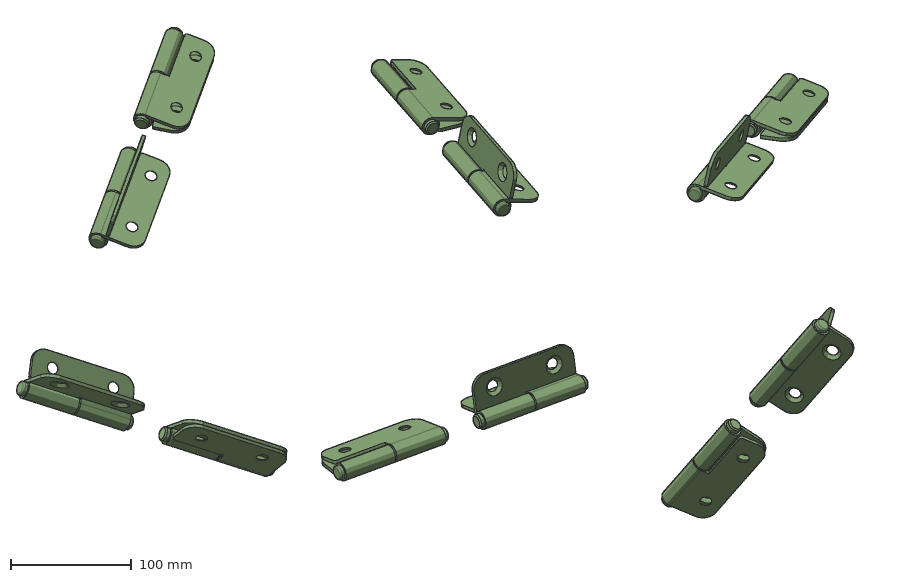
import cadquery as cq
import math

OVERALL_WIDTH = 45.5
OVERALL_LENGTH = 248.5
LEAF_LENGTH = 100.0
LONG_HEAD = 4.5
SHORT_HEAD = 4.2

KNUCKLE_RADIUS = 8.0
LEAF_THICKNESS = 3.0
PIN_RADIUS = KNUCKLE_RADIUS - LEAF_THICKNESS
WASHER_THICKNESS = 1.5
CURL_GAP = 0.2
KNUCKLE_LENGTH = (LEAF_LENGTH - WASHER_THICKNESS) / 2
HEAD_RADIUS = 6.2
LONG_HEAD_CHAMFER = 1.2
SHORT_HEAD_FILLET = 1.5

SLOPED_ANGLE = -15.0
UPRIGHT_ANGLE = 78.0
FLAT_ANGLE = 0.0

SLOPE = math.radians(-SLOPED_ANGLE)
LEAF_REACH = (OVERALL_WIDTH - KNUCKLE_RADIUS * (1 + math.sin(SLOPE))) / math.cos(SLOPE)
OUTER_CORNER_RADIUS = 12.5
CUTOUT_REACH = 7.7
CUTOUT_CORNER_RADIUS = 2.5
HOLE_REACH = 22.4
HOLE_SPACING = 60.0
HOLE_RADIUS = 5.0
SINK_RADIUS = HOLE_RADIUS + LEAF_THICKNESS


HALF_LENGTH = LEAF_LENGTH / 2
HINGE_OFFSET = (OVERALL_LENGTH - LEAF_LENGTH) / 2 - SHORT_HEAD


def y_cylinder(radius, y_start, length):
    """Cylinder on the hinge axis, growing toward +Y."""
    return cq.Workplane("XZ", origin=(0, y_start, 0)).circle(radius).extrude(-length)


def make_leaf():
    """Leaf reaching along +X, outer face on top, knuckle on the -Y half."""
    knuckle_end = KNUCKLE_LENGTH - HALF_LENGTH
    plate = (
        cq.Workplane("XY", origin=(0, 0, PIN_RADIUS))
        .moveTo(0, -HALF_LENGTH)
        .lineTo(LEAF_REACH, -HALF_LENGTH)
        .lineTo(LEAF_REACH, HALF_LENGTH)
        .lineTo(CUTOUT_REACH, HALF_LENGTH)
        .lineTo(CUTOUT_REACH, knuckle_end)
        .lineTo(0, knuckle_end)
        .close()
        .extrude(LEAF_THICKNESS)
    )
    plate = plate.edges("|Z and >X").fillet(OUTER_CORNER_RADIUS)
    cutout_corner = cq.selectors.NearestToPointSelector((CUTOUT_REACH, HALF_LENGTH, KNUCKLE_RADIUS))
    plate = plate.edges("|Z").edges(cutout_corner).fillet(CUTOUT_CORNER_RADIUS)

    leaf = plate.union(y_cylinder(KNUCKLE_RADIUS, -HALF_LENGTH, KNUCKLE_LENGTH))
    leaf = leaf.cut(y_cylinder(PIN_RADIUS, -HALF_LENGTH, LEAF_LENGTH))
    leaf = leaf.cut(make_curl_slit())
    for side in (-1, 1):
        leaf = leaf.cut(make_screw_hole().translate((HOLE_REACH, side * HOLE_SPACING / 2, 0)))
    return leaf


def make_curl_slit():
    """Thin slot under the plate, from the bore out through the knuckle wall."""
    return cq.Workplane("XY", origin=(0, 0, PIN_RADIUS - CURL_GAP)).box(
        KNUCKLE_RADIUS, LEAF_LENGTH, CURL_GAP, centered=(False, True, False)
    )


def make_screw_hole():
    """Cone that widens from the outer face to the inner face of a leaf."""
    return cq.Workplane("XY").add(
        cq.Solid.makeCone(SINK_RADIUS, HOLE_RADIUS, LEAF_THICKNESS, cq.Vector(0, 0, PIN_RADIUS))
    )


def make_washer():
    """Ring between the two knuckles."""
    ring = y_cylinder(KNUCKLE_RADIUS, -WASHER_THICKNESS / 2, WASHER_THICKNESS)
    return ring.cut(y_cylinder(PIN_RADIUS, -WASHER_THICKNESS / 2, WASHER_THICKNESS))


def make_pin():
    """Pin with a head outside each knuckle, long head at the -Y end."""
    long_head = y_cylinder(HEAD_RADIUS, -HALF_LENGTH - LONG_HEAD, LONG_HEAD)
    long_head = long_head.faces("<Y").edges().chamfer(LONG_HEAD_CHAMFER)
    short_head = y_cylinder(HEAD_RADIUS, HALF_LENGTH, SHORT_HEAD)
    short_head = short_head.faces(">Y").edges().fillet(SHORT_HEAD_FILLET)
    shank = y_cylinder(PIN_RADIUS, -HALF_LENGTH, LEAF_LENGTH)
    return shank.union(long_head).union(short_head)


def turn(body, angle):
    """Turn a body about the hinge axis so that +X rises by the angle."""
    return body.rotate((0, 0, 0), (0, 1, 0), -angle)


def flip(body):
    """Turn a body upside down and end for end, keeping its reach along +X."""
    return body.rotate((0, 0, 0), (1, 0, 0), 180)


def end_for_end(body):
    """Swap the two ends of a body that is round about the hinge axis."""
    return body.rotate((0, 0, 0), (0, 0, 1), 180)


def make_hinge(second_leaf_angle, y_center, pin_reversed):
    """Four separate solids of one hinge: two leaves, a washer and a pin."""
    first_leaf = turn(make_leaf(), SLOPED_ANGLE)
    second_leaf = turn(flip(make_leaf()), second_leaf_angle)
    washer = make_washer()
    pin = end_for_end(make_pin()) if pin_reversed else make_pin()
    parts = (first_leaf, second_leaf, washer, pin)
    return [part.translate((0, y_center, 0)).solids().val() for part in parts]


folded_hinge = make_hinge(FLAT_ANGLE, HINGE_OFFSET, pin_reversed=False)
open_hinge = make_hinge(UPRIGHT_ANGLE, -HINGE_OFFSET, pin_reversed=True)

result = cq.Compound.makeCompound([*folded_hinge, *open_hinge])